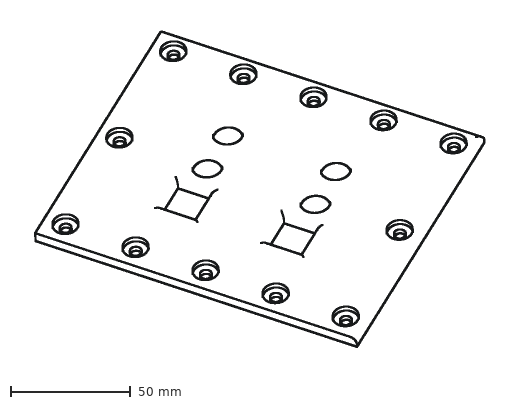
import cadquery as cq

PLATE_LENGTH = 149.0
PLATE_WIDTH = 124.1
PLATE_THICKNESS = 5.0
EDGE_RADIUS = 3.0
TILT_ANGLE = 5.6

SKIRT_LENGTH = 107.3
SKIRT_WIDTH = 87.9
SKIRT_HEIGHT = 15.0
SKIRT_WALL = 3.0
SKIRT_CENTER_Y = 2.5

SCREW_DIAMETER = 5.0
SCREW_HEAD_DIAMETER = 11.0
SCREW_HEAD_DEPTH = PLATE_THICKNESS / 2
SCREW_MARGIN = 9.5
SCREW_COLUMNS = 5
SCREW_ROWS = 3

ROUND_DIAMETER = 12.5
ROUND_MOUTH_DIAMETER = 17.5
ROUND_SPACING_X = 50.0
ROUND_TOP_Y = 21.5
ROUND_PITCH_Y = 20.0

SQUARE_SIDE = 15.5
SQUARE_SPACING_X = 49.2
SQUARE_Y = -19.7

MOUTH_RADIUS = (ROUND_MOUTH_DIAMETER - ROUND_DIAMETER) / 2


def make_plate():
    """Flat plate with its +X and +Y top edges rounded."""
    plate = cq.Workplane("XY").box(
        PLATE_LENGTH, PLATE_WIDTH, PLATE_THICKNESS, centered=(True, True, False)
    )
    plate = plate.translate((0, 0, -PLATE_THICKNESS))
    return plate.edges("(>Z and >X) or (>Z and >Y)").fillet(EDGE_RADIUS)


def make_skirt():
    """Rectangular wall hanging from the underside of the plate."""
    return (
        cq.Workplane("XY", origin=(0, SKIRT_CENTER_Y, -PLATE_THICKNESS))
        .rect(SKIRT_LENGTH, SKIRT_WIDTH)
        .rect(SKIRT_LENGTH - 2 * SKIRT_WALL, SKIRT_WIDTH - 2 * SKIRT_WALL)
        .extrude(-SKIRT_HEIGHT)
    )


def screw_points():
    """Grid positions along the border, leaving the inside of the grid empty."""
    pitch_x = (PLATE_LENGTH - 2 * SCREW_MARGIN) / (SCREW_COLUMNS - 1)
    pitch_y = (PLATE_WIDTH - 2 * SCREW_MARGIN) / (SCREW_ROWS - 1)
    points = []
    for column in range(SCREW_COLUMNS):
        for row in range(SCREW_ROWS):
            if column in (0, SCREW_COLUMNS - 1) or row in (0, SCREW_ROWS - 1):
                x = SCREW_MARGIN - PLATE_LENGTH / 2 + column * pitch_x
                y = SCREW_MARGIN - PLATE_WIDTH / 2 + row * pitch_y
                points.append((x, y))
    return points


def cut_openings(plate):
    """Cut the round and square openings, then round their upper rims."""
    top = cq.Workplane("XY")
    round_points = [
        (side * ROUND_SPACING_X / 2, ROUND_TOP_Y - row * ROUND_PITCH_Y)
        for side in (-1, 1)
        for row in range(2)
    ]
    square_points = [(side * SQUARE_SPACING_X / 2, SQUARE_Y) for side in (-1, 1)]
    rounds = top.pushPoints(round_points).circle(ROUND_DIAMETER / 2).extrude(-PLATE_THICKNESS)
    squares = top.pushPoints(square_points).rect(SQUARE_SIDE, SQUARE_SIDE).extrude(-PLATE_THICKNESS)
    opened = plate.cut(rounds).cut(squares)

    rims = [edge for wire in opened.faces(">Z").val().innerWires() for edge in wire.Edges()]
    return opened.newObject(rims).fillet(MOUTH_RADIUS)


def cut_screw_holes(plate):
    """Drill the counterbored border holes from the top face."""
    return (
        plate.faces(">Z")
        .workplane(origin=(0, 0, 0))
        .pushPoints(screw_points())
        .cboreHole(SCREW_DIAMETER, SCREW_HEAD_DIAMETER, SCREW_HEAD_DEPTH)
    )


panel = cut_screw_holes(cut_openings(make_plate())).union(make_skirt())

result = panel.rotate((0, 0, 0), (1, 0, 0), TILT_ANGLE)